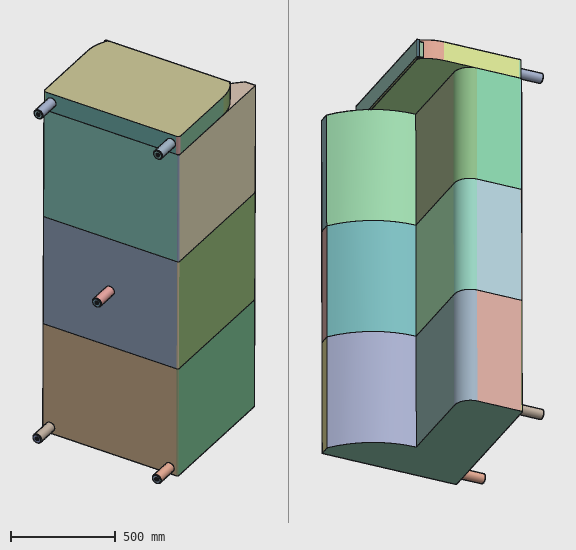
import cadquery as cq
import math


width = 760.0
half_width = width / 2
lean_angle = 0.21

segment_count = 3
segment_height = 615.0
segment_edge_radius = 8.0
shoulder_start = 238.0
shoulder_radius = 84.0
floor_y = shoulder_start + shoulder_radius
segment_depth = 706.0
fin_base_width = 242.0
fin_tip_width = 59.0

fin_run = fin_base_width - fin_tip_width
fin_rise = segment_depth - floor_y
fin_radius = (fin_run**2 + fin_rise**2) / (2 * fin_run)
fin_half_sweep = math.asin(fin_rise / fin_radius) / 2
fin_middle = (
    half_width - fin_base_width + fin_radius * (1 - math.cos(fin_half_sweep)),
    floor_y + fin_radius * math.sin(fin_half_sweep),
)

cap_height = 103.0
cap_base_z = segment_count * segment_height
cap_depth = 533.0
cap_front_radius = 15.0
cap_side_depth = 410.0
cap_taper_inset = 40.0
cap_rear_radius = 25.0

panel_left = -361.0
panel_right = 338.0
panel_thickness = 12.0
panel_height = 95.0
tongue_inset = 5.0
tongue_depth = 27.0

pin_diameter = 50.0
pin_length = 123.0
pin_tip_chamfer = 4.0
pin_recess_diameter = 19.1
pin_recess_depth = 8.0
pin_bore_diameter = 8.0
pin_bore_depth = 15.0
pin_spacing_x = 667.0
pin_spacing_z = 1862.0
low_pin_z = 37.0
middle_pin_x = -4.0
middle_pin_z = 933.0
high_pin_z = low_pin_z + pin_spacing_z
pin_places = [
    (-pin_spacing_x / 2, low_pin_z),
    (pin_spacing_x / 2, low_pin_z),
    (middle_pin_x, middle_pin_z),
    (-pin_spacing_x / 2, high_pin_z),
    (pin_spacing_x / 2, high_pin_z),
]


def make_segment(base_z):
    """One segment: a block with a rounded -X shoulder and a curved fin at its +X side."""
    return (
        cq.Workplane("XY")
        .workplane(offset=base_z)
        .moveTo(-half_width, 0)
        .lineTo(-half_width, shoulder_start)
        .tangentArcPoint((-half_width + shoulder_radius, floor_y), relative=False)
        .lineTo(half_width - fin_base_width, floor_y)
        .threePointArc(fin_middle, (half_width - fin_tip_width, segment_depth))
        .lineTo(half_width, segment_depth)
        .lineTo(half_width, 0)
        .close()
        .extrude(segment_height)
        .edges("|Z and <Y")
        .fillet(segment_edge_radius)
    )


def make_cap():
    """The top plate: flat front, sides curving inwards to rounded rear corners."""
    rear_x = half_width - cap_taper_inset
    half_cap = (
        cq.Workplane("XY")
        .workplane(offset=cap_base_z)
        .moveTo(0, 0)
        .lineTo(-half_width, 0)
        .lineTo(-half_width, cap_side_depth)
        .tangentArcPoint((-rear_x, cap_depth), relative=False)
        .lineTo(0, cap_depth)
        .close()
        .extrude(cap_height)
    )
    cap = half_cap.union(half_cap.mirror("YZ"))
    cap = cap.edges("|Z and <Y").fillet(cap_front_radius)
    return cap.edges("|Z and >Y").fillet(cap_rear_radius)


def make_panel(cap):
    """A thin plate behind the cap, whose tongue fills the space at the cap's round rear corners."""
    length = panel_right - panel_left
    plate = cq.Workplane("XY").box(length, panel_thickness, panel_height, centered=False)
    plate = plate.translate((panel_left, cap_depth, cap_base_z))
    tongue = cq.Workplane("XY").box(
        length - 2 * tongue_inset,
        tongue_depth,
        panel_height - 2 * tongue_inset,
        centered=False,
    )
    tongue = tongue.translate(
        (panel_left + tongue_inset, cap_depth - tongue_depth, cap_base_z + tongue_inset)
    )
    return plate.union(tongue).cut(cap).solids()


def make_pin(x, z):
    """A pin standing out from the front face, with a chamfered and stepped-bored tip."""
    return (
        cq.Workplane("XZ", origin=(x, 0, z))
        .circle(pin_diameter / 2)
        .extrude(pin_length)
        .faces("<Y")
        .chamfer(pin_tip_chamfer)
        .faces("<Y")
        .workplane()
        .cboreHole(pin_bore_diameter, pin_recess_diameter, pin_recess_depth, pin_bore_depth)
    )


def lean(body):
    """The body's solid, turned with the whole assembly about the Y axis."""
    return body.val().rotate(cq.Vector(0, 0, 0), cq.Vector(0, 1, 0), lean_angle)


segments = [make_segment(index * segment_height) for index in range(segment_count)]
cap = make_cap()
panel = make_panel(cap)
pins = [make_pin(x, z) for x, z in pin_places]

result = cq.Compound.makeCompound([lean(body) for body in [*segments, cap, panel, *pins]])